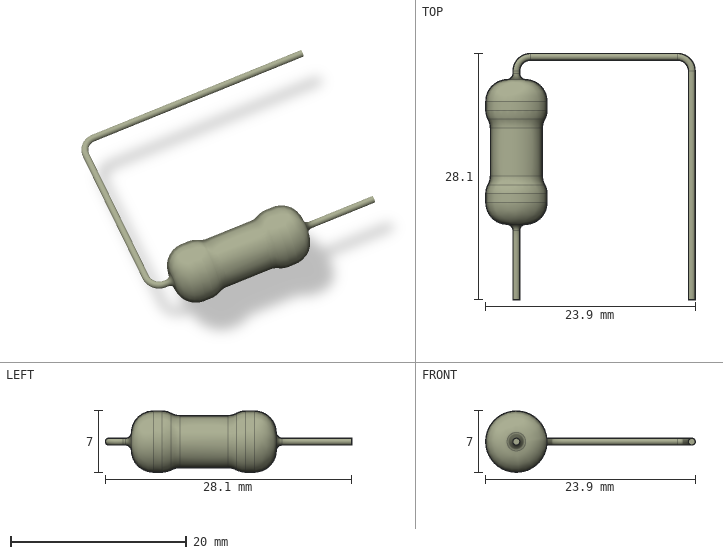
import cadquery as cq
import math

total_length = 28.1
lead_diameter = 0.8
lead_spacing = 20.0
bend_radius = 1.63
cap_diameter = 7.0
waist_diameter = 5.95
body_center_y = 16.85
body_length = 16.52
dome_radius = 2.5
flare_radius = 0.67
shoulder_start = 4.75
waist_end = 2.73

lead_radius = lead_diameter / 2
cap_radius = cap_diameter / 2
waist_radius = waist_diameter / 2

shoulder_middle = (shoulder_start + waist_end) / 2
shoulder_middle_radius = (cap_radius + waist_radius) / 2

dome_center_radius = cap_radius - dome_radius
dome_center = body_length / 2 - dome_radius
flare_center_radius = lead_radius + flare_radius
flare_angle = math.acos((flare_center_radius - dome_center_radius) / (dome_radius + flare_radius))
flare_center = dome_center + (dome_radius + flare_radius) * math.sin(flare_angle)
contact_radius = dome_center_radius + dome_radius * math.cos(flare_angle)
contact = dome_center + dome_radius * math.sin(flare_angle)


def at(radius, distance):
    """Profile point at a radius and a signed distance from the body centre."""
    return (radius, body_center_y + distance)


def arc_point(center_radius, center, radius, angle):
    """Profile point on an arc, at an angle measured from the +X direction."""
    return at(center_radius + radius * math.cos(angle), center + radius * math.sin(angle))


def body():
    """Revolve the dumbbell-shaped body, with a flare onto the lead at each end."""
    dome_mid = flare_angle / 2
    flare_mid = math.pi + flare_angle / 2
    profile = (
        cq.Workplane("XY")
        .moveTo(*at(0, -flare_center))
        .lineTo(*at(lead_radius, -flare_center))
        .threePointArc(
            arc_point(flare_center_radius, -flare_center, flare_radius, -flare_mid),
            at(contact_radius, -contact),
        )
        .threePointArc(
            arc_point(dome_center_radius, -dome_center, dome_radius, -dome_mid),
            at(cap_radius, -dome_center),
        )
        .lineTo(*at(cap_radius, -shoulder_start))
        .tangentArcPoint(at(shoulder_middle_radius, -shoulder_middle), relative=False)
        .tangentArcPoint(at(waist_radius, -waist_end), relative=False)
        .lineTo(*at(waist_radius, waist_end))
        .tangentArcPoint(at(shoulder_middle_radius, shoulder_middle), relative=False)
        .tangentArcPoint(at(cap_radius, shoulder_start), relative=False)
        .lineTo(*at(cap_radius, dome_center))
        .threePointArc(
            arc_point(dome_center_radius, dome_center, dome_radius, dome_mid),
            at(contact_radius, contact),
        )
        .threePointArc(
            arc_point(flare_center_radius, flare_center, flare_radius, flare_mid),
            at(lead_radius, flare_center),
        )
        .lineTo(*at(0, flare_center))
        .close()
    )
    return profile.revolve(360, (0, 0, 0), (0, 1, 0))


def bent_lead():
    """Sweep one wire along the body axis, across at the +Y end and back to Y = 0."""
    crossing_y = total_length - lead_radius
    bend_start_y = crossing_y - bend_radius
    path = (
        cq.Workplane("XY")
        .lineTo(0, bend_start_y)
        .tangentArcPoint((bend_radius, crossing_y), relative=False)
        .lineTo(lead_spacing - bend_radius, crossing_y)
        .tangentArcPoint((lead_spacing, bend_start_y), relative=False)
        .lineTo(lead_spacing, 0)
    )
    return cq.Workplane("XZ").circle(lead_radius).sweep(path)


result = bent_lead().union(body())